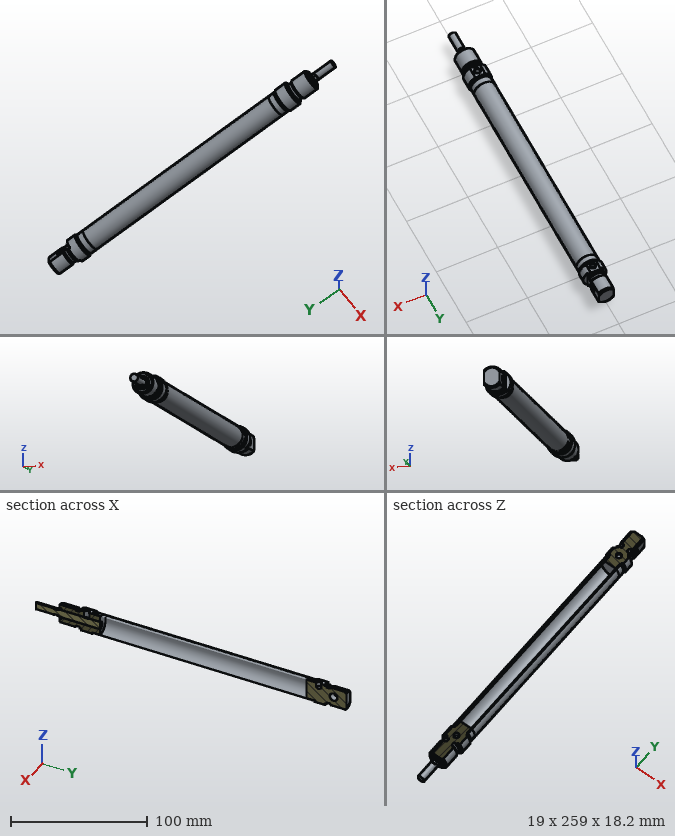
import cadquery as cq
import math

REAR_END = 129.5
ROD_TIP = REAR_END - 259.0

TUBE_DIAMETER = 17.4
TUBE_BORE = 16.0
CAP_DIAMETER = 19.0
NECK_DIAMETER = 17.0
THREAD_DIAMETER = 16.0
RELIEF_DIAMETER = 13.7
ROD_DIAMETER = 6.0

TUBE_REAR = 101.3
TUBE_FRONT = -80.8
NECK_LENGTH = 1.5
SPIGOT_LENGTH = 5.2

REAR_CAP_LENGTH = 8.5
REAR_STEP_LENGTH = 1.5
REAR_RELIEF_LENGTH = 2.5
TANG_CHAMFER = 1.0
TANG_WIDTH = 12.0
TANG_FLAT_OVERRUN = 1.5
PIVOT_DIAMETER = 6.0
PIVOT_FROM_END = 11.0

FRONT_CAP_LENGTH = 9.3
FRONT_STEP_LENGTH = 1.3
FRONT_RELIEF_LENGTH = 2.5
COLLAR_LENGTH = 14.2
COLLAR_CHAMFER = 1.0
WIPER_MOUTH_DIAMETER = 10.0
WIPER_SEAT_DIAMETER = 9.0
WIPER_CONE_DEPTH = 0.5
WIPER_SEAT_DEPTH = 1.0
LIP_DIAMETER = 6.5
LIP_HEIGHT = 0.3

PORT_FLAT_HEIGHT = 8.5
PORT_DIAMETER = 4.1
PORT_MOUTH_DIAMETER = 5.0
PORT_DEPTH = 4.0
DRILL_TIP_ANGLE = 118.0

WRENCH_FLAT_WIDTH = 5.0
WRENCH_FLAT_LENGTH = 2.8
WRENCH_FLAT_FROM_TIP = 15.3
ROD_TIP_DIAMETER = 4.1
ROD_TIP_CHAMFER = 0.3

REAR_CAP_INNER = TUBE_REAR + NECK_LENGTH
REAR_CAP_OUTER = REAR_CAP_INNER + REAR_CAP_LENGTH
REAR_STEP_END = REAR_CAP_OUTER + REAR_STEP_LENGTH
TANG_START = REAR_STEP_END + REAR_RELIEF_LENGTH
REAR_PORT_Y = (REAR_CAP_INNER + REAR_CAP_OUTER - TANG_FLAT_OVERRUN) / 2

FRONT_CAP_INNER = TUBE_FRONT - NECK_LENGTH
FRONT_CAP_OUTER = FRONT_CAP_INNER - FRONT_CAP_LENGTH
FRONT_STEP_END = FRONT_CAP_OUTER - FRONT_STEP_LENGTH
COLLAR_START = FRONT_STEP_END - FRONT_RELIEF_LENGTH
COLLAR_END = COLLAR_START - COLLAR_LENGTH
FRONT_PORT_Y = (FRONT_CAP_INNER + FRONT_CAP_OUTER) / 2
FRONT_SPIGOT_END = TUBE_FRONT + SPIGOT_LENGTH


def turned(profile):
    """Solid turned about the Y axis from (diameter, y) corners, closed along the axis."""
    points = [(0, profile[0][1])]
    points += [(diameter / 2, y) for diameter, y in profile]
    points.append((0, profile[-1][1]))
    return cq.Workplane("XY").polyline(points).close().revolve(360, (0, 0, 0), (0, 1, 0))


def box_between(x_range, y_range, z_range):
    """Axis-aligned box from its limits along each axis."""
    lows, highs = zip(x_range, y_range, z_range)
    size = [high - low for low, high in zip(lows, highs)]
    return cq.Workplane("XY").box(*size, centered=False).translate(lows)


def port_flat(y_inner, y_outer):
    """Material above the flat that the port opens on."""
    return box_between(
        (-CAP_DIAMETER, CAP_DIAMETER),
        sorted((y_inner, y_outer)),
        (PORT_FLAT_HEIGHT, CAP_DIAMETER),
    )


def port_hole(y, bottom):
    """Vertical port with a chamfered mouth and a drill-point bottom."""
    radius = PORT_DIAMETER / 2
    mouth_radius = PORT_MOUTH_DIAMETER / 2
    mouth_bottom = PORT_FLAT_HEIGHT - (mouth_radius - radius)
    tip = bottom - radius / math.tan(math.radians(DRILL_TIP_ANGLE / 2))
    profile = [
        (0, tip),
        (radius, bottom),
        (radius, mouth_bottom),
        (mouth_radius, PORT_FLAT_HEIGHT),
        (0, PORT_FLAT_HEIGHT),
    ]
    hole = cq.Workplane("XZ").polyline(profile).close().revolve(360, (0, 0, 0), (0, 1, 0))
    return hole.translate((0, y, 0))


def make_tube():
    outer = turned([(TUBE_DIAMETER, TUBE_FRONT), (TUBE_DIAMETER, TUBE_REAR)])
    bore = turned([(TUBE_BORE, TUBE_FRONT), (TUBE_BORE, TUBE_REAR)])
    return outer.cut(bore)


def tang_flats():
    """Material milled off both sides of the tang, running a little into the cap."""
    y_range = (REAR_CAP_OUTER - TANG_FLAT_OVERRUN, REAR_END)
    z_range = (-CAP_DIAMETER, CAP_DIAMETER)
    right = box_between((TANG_WIDTH / 2, CAP_DIAMETER), y_range, z_range)
    return right.union(right.mirror("YZ"))


def make_rear_cap():
    tang_tip_diameter = THREAD_DIAMETER - 2 * TANG_CHAMFER
    cap = turned([
        (TUBE_BORE, TUBE_REAR - SPIGOT_LENGTH),
        (TUBE_BORE, TUBE_REAR),
        (NECK_DIAMETER, TUBE_REAR),
        (NECK_DIAMETER, REAR_CAP_INNER),
        (CAP_DIAMETER, REAR_CAP_INNER),
        (CAP_DIAMETER, REAR_CAP_OUTER),
        (THREAD_DIAMETER, REAR_CAP_OUTER),
        (THREAD_DIAMETER, REAR_STEP_END),
        (RELIEF_DIAMETER, REAR_STEP_END),
        (RELIEF_DIAMETER, TANG_START),
        (tang_tip_diameter, TANG_START),
        (THREAD_DIAMETER, TANG_START + TANG_CHAMFER),
        (THREAD_DIAMETER, REAR_END - TANG_CHAMFER),
        (tang_tip_diameter, REAR_END),
    ])
    pivot_hole = (
        cq.Workplane("YZ")
        .center(REAR_END - PIVOT_FROM_END, 0)
        .circle(PIVOT_DIAMETER / 2)
        .extrude(CAP_DIAMETER, both=True)
    )
    cap = cap.cut(tang_flats()).cut(pivot_hole)
    cap = cap.cut(port_flat(REAR_CAP_INNER, REAR_CAP_OUTER))
    return cap.cut(port_hole(REAR_PORT_Y, PORT_FLAT_HEIGHT - PORT_DEPTH))


def wiper_recess():
    """Recess with a conical mouth in the collar face."""
    seat_top = COLLAR_END + WIPER_CONE_DEPTH
    return turned([
        (WIPER_MOUTH_DIAMETER, COLLAR_END),
        (WIPER_SEAT_DIAMETER, seat_top),
        (WIPER_SEAT_DIAMETER, seat_top + WIPER_SEAT_DEPTH),
    ])


def wiper_lip():
    """Lip around the rod, standing on the recess floor and rising past the collar face."""
    floor = COLLAR_END + WIPER_CONE_DEPTH + WIPER_SEAT_DEPTH
    return turned([(LIP_DIAMETER, COLLAR_END - LIP_HEIGHT), (LIP_DIAMETER, floor)])


def rod_bore():
    """Bore for the rod through the lip, the collar and the spigot."""
    return turned([(ROD_DIAMETER, COLLAR_END - LIP_HEIGHT), (ROD_DIAMETER, FRONT_SPIGOT_END)])


def make_front_cap():
    collar_tip_diameter = THREAD_DIAMETER - 2 * COLLAR_CHAMFER
    cap = turned([
        (TUBE_BORE, FRONT_SPIGOT_END),
        (TUBE_BORE, TUBE_FRONT),
        (NECK_DIAMETER, TUBE_FRONT),
        (NECK_DIAMETER, FRONT_CAP_INNER),
        (CAP_DIAMETER, FRONT_CAP_INNER),
        (CAP_DIAMETER, FRONT_CAP_OUTER),
        (THREAD_DIAMETER, FRONT_CAP_OUTER),
        (THREAD_DIAMETER, FRONT_STEP_END),
        (RELIEF_DIAMETER, FRONT_STEP_END),
        (RELIEF_DIAMETER, COLLAR_START),
        (collar_tip_diameter, COLLAR_START),
        (THREAD_DIAMETER, COLLAR_START - COLLAR_CHAMFER),
        (THREAD_DIAMETER, COLLAR_END + COLLAR_CHAMFER),
        (collar_tip_diameter, COLLAR_END),
    ])
    cap = cap.cut(port_flat(FRONT_CAP_INNER, FRONT_CAP_OUTER))
    cap = cap.cut(port_hole(FRONT_PORT_Y, 0))
    return cap.cut(wiper_recess()).union(wiper_lip()).cut(rod_bore())


def make_rod():
    rod = turned([
        (ROD_TIP_DIAMETER, ROD_TIP),
        (ROD_DIAMETER, ROD_TIP + ROD_TIP_CHAMFER),
        (ROD_DIAMETER, FRONT_SPIGOT_END),
    ])
    flat_start = ROD_TIP + WRENCH_FLAT_FROM_TIP
    upper = box_between(
        (-ROD_DIAMETER, ROD_DIAMETER),
        (flat_start, flat_start + WRENCH_FLAT_LENGTH),
        (WRENCH_FLAT_WIDTH / 2, ROD_DIAMETER),
    )
    return rod.cut(upper).cut(upper.mirror("XY"))


tube = make_tube()
rear_cap = make_rear_cap()
front_cap = make_front_cap()
rod = make_rod()

bodies = [tube, rear_cap, front_cap, rod]
result = cq.Compound.makeCompound([body.solids().val() for body in bodies])